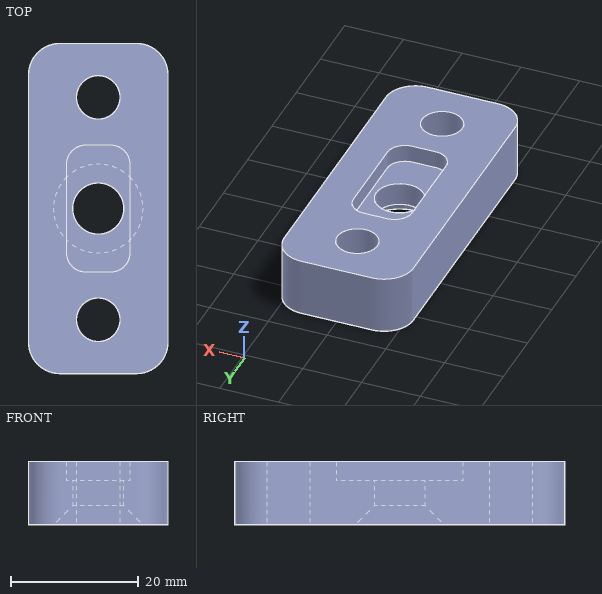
import cadquery as cq

length = 52.0
width = 22.0
height = 10.0
corner_radius = 5.0

bolt_hole_diameter = 6.8
bolt_hole_spacing = 35.0

pocket_width = 10.0
pocket_length = 2 * pocket_width
pocket_corner_radius = 3.0
pocket_depth = 3.0
center_hole_diameter = 8.0

countersink_depth = 3.0


def rounded_block(size_x, size_y, size_z, radius):
    """Block standing on Z = 0 with rounded vertical edges."""
    block = cq.Workplane("XY").box(size_x, size_y, size_z, centered=(True, True, False))
    return block.edges("|Z").fillet(radius)


def through_hole(y, diameter):
    """Cutter for a vertical hole through the block on its centre line."""
    return cq.Workplane("XY").center(0, y).circle(diameter / 2).extrude(height)


result = rounded_block(width, length, height, corner_radius)

pocket = rounded_block(pocket_width, pocket_length, pocket_depth, pocket_corner_radius)
result = result.cut(pocket.translate((0, 0, height - pocket_depth)))

hole_radius = center_hole_diameter / 2
countersink = cq.Solid.makeCone(hole_radius + countersink_depth, hole_radius, countersink_depth)
result = result.cut(cq.Workplane(countersink))

result = result.cut(through_hole(0, center_hole_diameter))
for side in (-1, 1):
    result = result.cut(through_hole(side * bolt_hole_spacing / 2, bolt_hole_diameter))